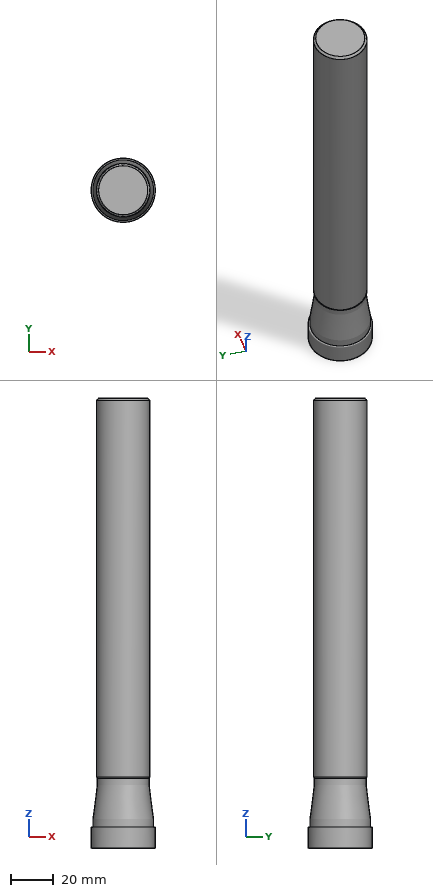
import cadquery as cq

total_height = 210.0
base_diameter = 30.0
collar_diameter = 28.4
neck_diameter = 24.4
rod_diameter = 25.0

base_top = 9.9
collar_top = 13.6
flare_top = 29.5
holder_top = 32.5

base_edge_radius = 0.5
flare_sag = 0.06
rod_top_chamfer = 1.0
rod_foot_chamfer = 0.6


def make_holder():
    """Stepped foot: base, collar, slightly hollow flare and neck, turned about Z."""
    base_radius = base_diameter / 2
    collar_radius = collar_diameter / 2
    neck_radius = neck_diameter / 2
    flare_middle = (
        (collar_radius + neck_radius) / 2 - flare_sag,
        (collar_top + flare_top) / 2,
    )
    return (
        cq.Workplane("XZ")
        .moveTo(0, 0)
        .lineTo(base_radius - base_edge_radius, 0)
        .radiusArc((base_radius, base_edge_radius), -base_edge_radius)
        .lineTo(base_radius, base_top - base_edge_radius)
        .radiusArc((base_radius - base_edge_radius, base_top), -base_edge_radius)
        .lineTo(collar_radius, base_top)
        .lineTo(collar_radius, collar_top)
        .threePointArc(flare_middle, (neck_radius, flare_top))
        .lineTo(neck_radius, holder_top)
        .lineTo(0, holder_top)
        .close()
        .revolve(360, (0, 0, 0), (0, 1, 0))
    )


def make_rod():
    """Long round rod standing on the holder, with both end edges chamfered."""
    return (
        cq.Workplane("XY", origin=(0, 0, holder_top))
        .circle(rod_diameter / 2)
        .extrude(total_height - holder_top)
        .faces(">Z")
        .chamfer(rod_top_chamfer)
        .faces("<Z")
        .chamfer(rod_foot_chamfer)
    )


holder = make_holder()
rod = make_rod()

result = cq.Compound.makeCompound([holder.val(), rod.val()])